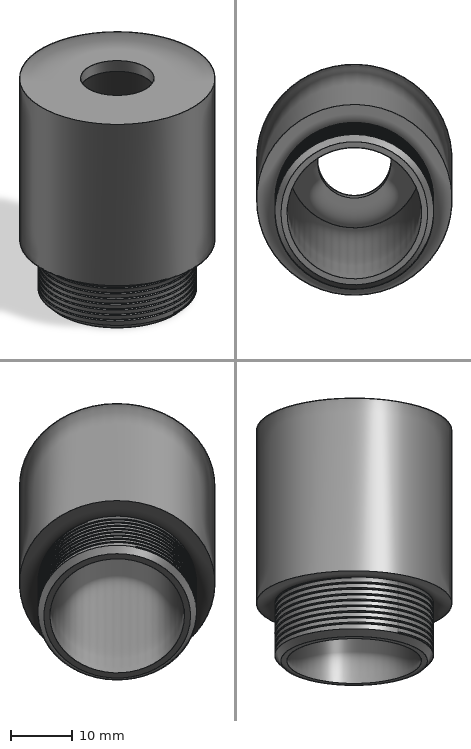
import cadquery as cq

body_diameter = 32.0
total_height = 40.0

spigot_diameter = 26.0
spigot_height = 10.0
spigot_chamfer = 1.0

opening_diameter = 12.0
bore_diameter = 22.0
top_wall = 2.0

thread_pitch = 1.0
groove_width = 0.3
groove_depth = 0.15
thread_start = 1.1
thread_end = spigot_height
groove_overshoot = 0.1


def make_thread_groove():
    """Right-handed helical cutter with a triangular section, starting on the +X side."""
    radius = spigot_diameter / 2
    half_width = groove_width / 2
    outer_half_width = half_width * (groove_depth + groove_overshoot) / groove_depth
    helix = cq.Wire.makeHelix(
        thread_pitch,
        thread_end - thread_start,
        radius,
        center=cq.Vector(0, 0, thread_start),
    )
    section = (
        cq.Workplane("XZ")
        .moveTo(radius - groove_depth, thread_start)
        .lineTo(radius + groove_overshoot, thread_start + outer_half_width)
        .lineTo(radius + groove_overshoot, thread_start - outer_half_width)
        .close()
    )
    return section.sweep(cq.Workplane(obj=helix), isFrenet=True)


def make_spigot():
    """Solid spigot with a chamfered lower edge and the thread cut into its side."""
    blank = (
        cq.Workplane("XY")
        .circle(spigot_diameter / 2)
        .extrude(spigot_height)
        .faces("<Z")
        .chamfer(spigot_chamfer)
    )
    return blank.cut(make_thread_groove())


def make_body():
    """Plain cylinder standing on the spigot."""
    return (
        cq.Workplane("XY")
        .workplane(offset=spigot_height)
        .circle(body_diameter / 2)
        .extrude(total_height - spigot_height)
    )


def make_stepped_bore():
    """Cutter for the small opening and the wider bore, open at the bottom."""
    opening = cq.Workplane("XY").circle(opening_diameter / 2).extrude(total_height)
    bore = cq.Workplane("XY").circle(bore_diameter / 2).extrude(total_height - top_wall)
    return opening.union(bore)


result = make_body().union(make_spigot()).cut(make_stepped_bore())